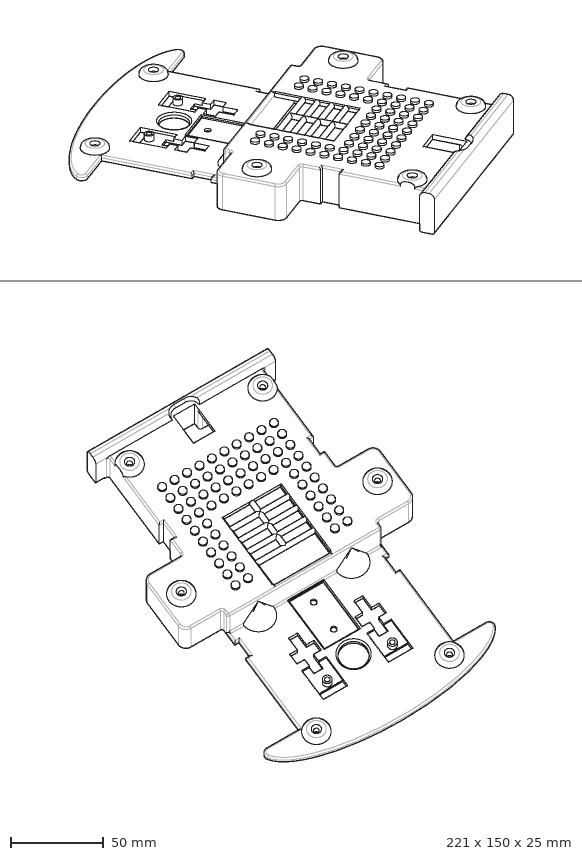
import cadquery as cq
import math

length = 221.0
width = 150.0
panel_height = 25.0
deck_height = 22.0
plate = 3.0
edge_round = 1.0
rim = 0.7
half_width = 49.7

bumper_depth = 24.8
bumper_reach = width / 2
bumper_tip_round = 3.3

body_front = 95.0
wing_front = 100.1
wing_back = 140.1
wing_round = 4.9
inner_round = 1.3

panel_front = 212.4
panel_width = 115.8
panel_top_round = 3.0
panel_foot_round = 1.3
relief_back = 217.7
relief_width = 17.2
relief_spread = 1.0
relief_round = 5.3
port_front = 194.3
port_back = 214.1
port_width = 13.7
port_round = 1.8

notch_length = 10.8
notch_depth = 2.7
tray_notch_center = 82.7
body_notch_center = 157.1

cone_radius = 10.0
cone_height = 16.1
cone_y = 30.0

seat_diameter = 16.0
seat_height = 2.9
seat_round = 2.7
sink_diameter = 5.5
sink_depth = 1.8
screw_hole = 3.0
seat_y = 42.9
tray_seat_x = 18.1
rear_seat_x = 202.2
wing_seat_x = (wing_front + wing_back) / 2
wing_seat_y = 63.2

stud_diameter = 4.9
stud_height = 1.3
stud_count = 10
stud_first_x = 108.3
stud_last_x = 180.5
stud_span_y = 72.0
full_columns_from = 6
outer_rows = 2

window_back = 147.5
window_width = 36.7
sill_round = 1.8
bar_diameter = 3.3
bar_count = 4
bar_first_x = 114.5
bar_last_x = 139.5

camera_hole_x = 47.0
camera_hole = 16.8
camera_bevel = 1.0
recess_front = 58.8
recess_back = 93.7
recess_width = 22.0
recess_depth = 1.5
recess_holes_x = (66.5, 86.5)
recess_hole = 3.5
sensor_y = 21.0
pocket_front = 32.7
pocket_back = 54.0
pocket_width = 15.7
pocket_depth = 1.5
slot_length = 4.9
peg_x = 40.9
peg_diameter = 5.3
peg_hole = 2.9
peg_top = 5.0
cross_front = 49.5
cross_back = 74.5
cross_arm_width = 5.7
cross_center_x = 62.3
cross_bar_width = 7.0


def block(x_min, x_max, y_size, z_min, z_max, y_center=0.0):
    """Box between two X and two Z positions, centred on a Y position."""
    size = (x_max - x_min, y_size, z_max - z_min)
    return cq.Workplane("XY").box(*size, centered=(False, True, False)).translate((x_min, y_center, z_min))


def cylinder(x, y, diameter, z_min, z_max):
    return cq.Workplane("XY", origin=(x, y, z_min)).circle(diameter / 2).extrude(z_max - z_min)


def notch_cutters(x_center, height):
    """Pair of blocks that notch both long sides."""
    x_min = x_center - notch_length / 2
    x_max = x_center + notch_length / 2
    cutters = block(x_min, x_max, 2 * notch_depth, 0, height, half_width)
    return cutters.union(block(x_min, x_max, 2 * notch_depth, 0, height, -half_width))


def tray_blank():
    bumper = cq.Workplane("XY").center(bumper_depth, 0).ellipse(bumper_depth, bumper_reach).extrude(plate)
    bumper = bumper.intersect(block(0, bumper_depth, width, 0, plate))
    bumper = bumper.edges("|Z").fillet(bumper_tip_round)
    tray = block(bumper_depth / 2, body_front + plate, 2 * half_width, 0, plate)
    return bumper.union(tray).cut(notch_cutters(tray_notch_center, plate))


def body_blank():
    flare = half_width + 2 * inner_round
    half = [
        (body_front, half_width),
        (wing_front, half_width),
        (wing_front, width / 2),
        (wing_back, width / 2),
        (wing_back, half_width),
        (panel_front, half_width),
        (panel_front, flare),
        (relief_back, flare),
    ]
    mirrored = [(x, -y) for x, y in reversed(half)]
    body = cq.Workplane("XY").polyline(half + mirrored).close().extrude(deck_height)

    def round_corners(solid, corners, radius):
        for x, y in corners:
            for side in (y, -y):
                picker = cq.selectors.NearestToPointSelector((x, side, deck_height / 2))
                solid = solid.edges("|Z").edges(picker).fillet(radius)
        return solid

    body = round_corners(body, [half[2], half[3]], wing_round)
    body = round_corners(body, [half[0], half[1], half[4], half[5]], inner_round)
    return body.cut(notch_cutters(body_notch_center, deck_height))


def cones():
    cone = cq.Solid.makeCone(cone_radius, 0, cone_height, cq.Vector(body_front, 0, plate))
    pair = cq.Workplane(cone).translate((0, cone_y, 0))
    return pair.union(cq.Workplane(cone).translate((0, -cone_y, 0)))


def wall_foot():
    """Concave strip where the tray meets the front wall of the body."""
    r = edge_round
    middle = r * (1 - math.sqrt(0.5))
    profile = (
        cq.Workplane("XZ", origin=(body_front, half_width - r, plate))
        .moveTo(-r, 0)
        .threePointArc((-middle, middle), (0, r))
        .lineTo(r, r)
        .lineTo(r, 0)
        .close()
    )
    return profile.extrude(2 * (half_width - r))


def rear_panel():
    panel = block(panel_front, length, panel_width, 0, panel_height)
    panel = panel.edges("|Y and >Z").fillet(panel_top_round)
    panel = panel.edges("|Y and <Z").fillet(panel_foot_round)
    depth = panel_height - deck_height
    flare_angle = math.degrees(math.atan(relief_spread / depth))
    relief_length = relief_back - port_front
    floor = cq.Sketch().rect(relief_length, relief_width).vertices(">X").fillet(relief_round)
    relief = cq.Workplane("XY", origin=(relief_back - relief_length / 2, 0, deck_height))
    return panel.cut(relief.placeSketch(floor).extrude(depth, taper=-flare_angle))


def screw_seat(x, y, face):
    """Dome-shaped seat standing on a face, with its root sunk into the plate."""
    seat = cylinder(x, y, seat_diameter, face - plate, face + seat_height)
    return seat.faces(">Z").edges().fillet(seat_round)


def screw_cutter(x, y, top):
    """Through hole with a countersink that opens at the top of a seat."""
    sink = cq.Solid.makeCone(screw_hole / 2, sink_diameter / 2, sink_depth, cq.Vector(x, y, top - sink_depth))
    return cylinder(x, y, screw_hole, 0, top).union(cq.Workplane(sink))


def plan_prism(solid, height, inset=0.0):
    """Prism over the plan outline of a solid, shrunk by an inset."""
    outline = cq.Workplane("XY").add(solid.faces("<Z").wires().vals()).toPending()
    if inset:
        outline = outline.offset2D(-inset)
    return outline.extrude(height)


def inner_space(body):
    """Hollow under the deck, with a rounded bay for the port in the rear wall."""
    top = deck_height - plate
    rear_wall = panel_front - plate
    hollow = plan_prism(body, top, plate).intersect(block(body_front, rear_wall, width, 0, top))
    hollow = hollow.union(block(port_front, port_back, port_width, 0, top))
    for side in (-1, 1):
        picker = cq.selectors.NearestToPointSelector((rear_wall, side * port_width / 2, top / 2))
        hollow = hollow.edges("|Z").edges(picker).fillet(port_round)
    return hollow


def studs():
    pitch_x = (stud_last_x - stud_first_x) / (stud_count - 1)
    pitch_y = stud_span_y / (stud_count - 1)
    points = []
    for column in range(stud_count):
        for row in range(stud_count):
            at_side = row < outer_rows or row >= stud_count - outer_rows
            if at_side or column >= full_columns_from:
                points.append((stud_first_x + column * pitch_x, row * pitch_y - stud_span_y / 2))
    base = cq.Workplane("XY", origin=(0, 0, deck_height - plate / 2))
    return base.pushPoints(points).circle(stud_diameter / 2).extrude(plate / 2 + stud_height)


def grille():
    z = deck_height - bar_diameter / 2
    overlap = plate / 2
    bar_length = window_width + 2 * overlap
    pitch = (bar_last_x - bar_first_x) / (bar_count - 1)
    rail = cq.Workplane("YZ", origin=(bar_first_x, 0, z)).circle(bar_diameter / 2)
    bars = rail.extrude(window_back + overlap - bar_first_x)
    for index in range(bar_count):
        bar = cq.Workplane("XZ", origin=(bar_first_x + index * pitch, bar_length / 2, z))
        bars = bars.union(bar.circle(bar_diameter / 2).extrude(bar_length))
    return bars


def cut_window(body):
    """Opening in the deck that reaches the front wall, whose top becomes a rounded sill."""
    sill = body_front + plate
    body = body.cut(block(sill, window_back, window_width, deck_height - plate, deck_height))
    picker = cq.selectors.NearestToPointSelector((sill, 0, deck_height))
    body = body.edges("|Y").edges(picker).fillet(sill_round)
    flared = cq.Workplane("XY", origin=((sill + window_back) / 2, 0, deck_height))
    flared = flared.rect(window_back - sill, window_width + 2 * rim).extrude(-rim, taper=45)
    return body.cut(flared)


def cut_recess(tray):
    """Shallow rectangular recess with a bevelled rim and two through holes."""
    size_x = recess_back - recess_front
    tray = tray.cut(block(recess_front, recess_back, recess_width, plate - recess_depth, plate))
    bevel = cq.Workplane("XY", origin=((recess_front + recess_back) / 2, 0, plate))
    tray = tray.cut(bevel.rect(size_x + 2 * rim, recess_width + 2 * rim).extrude(-rim, taper=45))
    for x in recess_holes_x:
        tray = tray.cut(cylinder(x, 0, recess_hole, 0, plate))
    return tray


def cut_camera_hole(tray):
    bevel = cq.Workplane("XY", origin=(camera_hole_x, 0, plate))
    tray = tray.cut(bevel.circle(camera_hole / 2 + camera_bevel).extrude(-camera_bevel, taper=45))
    return tray.cut(cylinder(camera_hole_x, 0, camera_hole, 0, plate))


def sensor_mount(solid, y):
    """Pocket with a slot, a cross-shaped opening and a hollow peg."""
    floor = plate - pocket_depth
    solid = solid.cut(block(pocket_front, pocket_back, pocket_width, floor, plate, y))
    solid = solid.cut(block(pocket_front, pocket_front + slot_length, pocket_width, 0, plate, y))
    bar_min = cross_center_x - cross_bar_width / 2
    bar_max = cross_center_x + cross_bar_width / 2
    solid = solid.cut(block(cross_front, cross_back, cross_arm_width, 0, plate, y))
    solid = solid.cut(block(bar_min, bar_max, pocket_width, 0, plate, y))
    solid = solid.union(cylinder(peg_x, y, peg_diameter, 0, peg_top))
    return solid.cut(cylinder(peg_x, y, peg_hole, 0, peg_top))


tray = tray_blank()
body = body_blank()
outline = plan_prism(tray, panel_height).union(plan_prism(body, panel_height))
hollow = inner_space(body)

tray = tray.faces(">Z").edges().fillet(edge_round)
body = body.faces(">Z").edges().fillet(edge_round)
result = body.union(tray).union(wall_foot()).union(cones()).union(rear_panel())

seats = []
for side in (-1, 1):
    seats.append((tray_seat_x, side * seat_y, plate))
    seats.append((wing_seat_x, side * wing_seat_y, deck_height))
    seats.append((rear_seat_x, side * seat_y, deck_height))
for x, y, face in seats:
    result = result.union(screw_seat(x, y, face).intersect(outline))

result = result.cut(hollow)
result = cut_window(result)
result = result.cut(block(port_front, port_back, port_width, 0, panel_height))
result = result.union(grille()).union(studs())
for x, y, face in seats:
    result = result.cut(screw_cutter(x, y, face + seat_height))

result = cut_recess(result)
result = cut_camera_hole(result)
for y in (-sensor_y, sensor_y):
    result = sensor_mount(result, y)